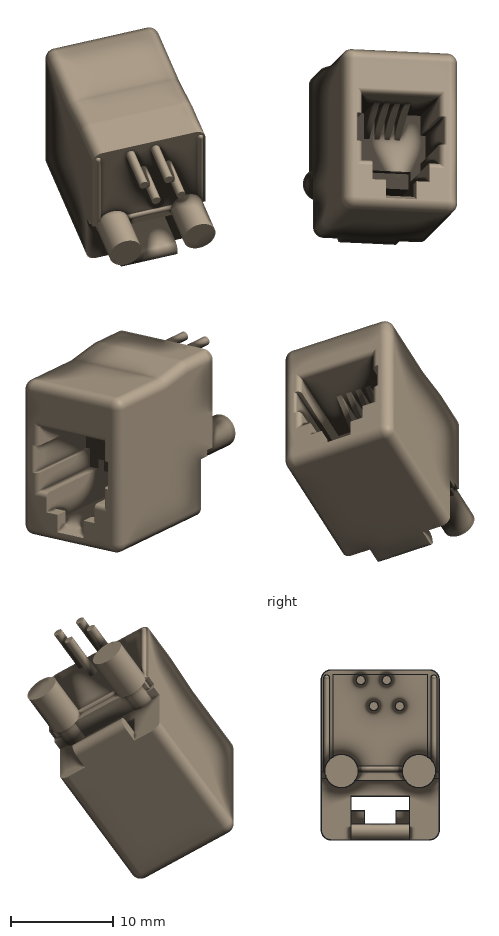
import cadquery as cq
import math


WIDTH = 11.56
FRONT_HEIGHT = 16.0
REAR_HEIGHT = 16.64
REAR_X = 16.19
RISE_START_X = 7.97
RISE_END_X = 12.05
ROOF_BLEND = 1.0
EDGE_RADIUS = 1.0
LOWER_REAR_X = 14.17
MIDDLE_REAR_X = 15.18
LOWER_STEP_Z = 6.0
MIDDLE_STEP_Z = 6.65

CAVITY_WIDTH = 7.7
CAVITY_BOTTOM = 4.82
CAVITY_TOP = 11.48
CAVITY_DEPTH = 9.0
CAVITY_LIP = 0.5
GUIDE_WIDTH = 8.66
GUIDE_BOTTOM = 6.68
GUIDE_TOP = 9.5
GUIDE_LIP = 0.27

CHANNEL_WIDTH = 5.7
CHANNEL_DEPTH = 10.0
FLOOR_THICKNESS = 1.58
CHANNEL_REAR_TOP = 4.27
CATCH_TOP = 2.88
CATCH_LENGTH = 1.41
LATCH_SLOT_WIDTH = 3.07
RAMP_LENGTH = 1.24
RAMP_FRONT_Z = 1.07
TONGUE_END_X = 16.49

BLOCK_WIDTH = 9.2
BLOCK_BOTTOM = 5.8
BLOCK_TOP = 12.0
BACK_PLATE_X = LOWER_REAR_X
BACK_PLATE_TOP = 16.2
CONTACT_COUNT = 4
CONTACT_PITCH = 1.02
CONTACT_WIDTH = 0.52
CONTACT_LENGTH = 5.0
CONTACT_DROP = 2.55
TAIL_END_X = 20.64
PIN_DIAMETER = 0.89
PIN_PITCH = 1.27
LOWER_PIN_Z = 13.09
PIN_ROW_SPACING = 2.54
PEG_Y = 3.79
PEG_Z = 6.74
PEG_RADIUS = 1.63
PEG_ROOT_RADIUS = 1.32
PEG_RELIEF = 0.18
TAB_SIDE_Y = 5.3
BEAD_RADIUS = 0.29
BEAD_Y = 5.24
BEAD_TOP = 15.84


def box(x_start, x_end, width, z_bottom, z_top):
    """Box centred on Y = 0."""
    size = (x_end - x_start, width, z_top - z_bottom)
    return cq.Workplane("XY").box(*size, centered=(False, True, False)).translate((x_start, 0, z_bottom))


def cylinder(start, axis, radius, length):
    """Cylinder from a start point along an axis."""
    return cq.Workplane(cq.Plane(start, normal=axis)).circle(radius).extrude(length)


def rod(x_start, x_end, y, z, radius):
    """Cylinder along X."""
    return cylinder((x_start, y, z), (1, 0, 0), radius, x_end - x_start)


def side_profile(points, width):
    """Closed polygon in X and Z, extruded symmetrically along Y."""
    return cq.Workplane("XZ").polyline(points).close().extrude(width / 2, both=True)


def flared_outline(plane, low, high, lip, depth):
    """Outline of a recess of the given depth whose mouth at X = 0 is rounded outwards."""
    mid = lip * (1 - math.sqrt(0.5))
    return (
        cq.Workplane(plane)
        .moveTo(0, low - lip)
        .threePointArc((mid, low - mid), (lip, low))
        .lineTo(depth, low)
        .lineTo(depth, high)
        .lineTo(lip, high)
        .threePointArc((mid, high + mid), (0, high + lip))
        .close()
    )


def shell_blank():
    outline = [
        (0, 0),
        (LOWER_REAR_X, 0),
        (LOWER_REAR_X, LOWER_STEP_Z),
        (MIDDLE_REAR_X, LOWER_STEP_Z),
        (MIDDLE_REAR_X, MIDDLE_STEP_Z),
        (REAR_X, MIDDLE_STEP_Z),
        (REAR_X, REAR_HEIGHT),
        (RISE_END_X, REAR_HEIGHT),
        (RISE_START_X, FRONT_HEIGHT),
        (0, FRONT_HEIGHT),
    ]
    blank = side_profile(outline, WIDTH)
    for bend_x, bend_z in ((RISE_START_X, FRONT_HEIGHT), (RISE_END_X, REAR_HEIGHT)):
        blank = blank.edges(cq.selectors.NearestToPointSelector((bend_x, 0, bend_z))).fillet(ROOF_BLEND)
    plug_face_edges = blank.faces("<X").edges().vals()
    long_edges = []
    for edge in blank.faces("<Y or >Y").edges().vals():
        center = edge.Center()
        on_underside_or_roof = center.z < EDGE_RADIUS or center.z > FRONT_HEIGHT - EDGE_RADIUS
        if on_underside_or_roof and center.x > EDGE_RADIUS:
            long_edges.append(edge)
    return blank.newObject(plug_face_edges + long_edges).fillet(EDGE_RADIUS)


def plug_cavity():
    plan = flared_outline("XY", -CAVITY_WIDTH / 2, CAVITY_WIDTH / 2, CAVITY_LIP, CAVITY_DEPTH)
    elevation = flared_outline("XZ", CAVITY_BOTTOM, CAVITY_TOP, CAVITY_LIP, CAVITY_DEPTH)
    cavity = plan.extrude(REAR_HEIGHT).intersect(elevation.extrude(WIDTH / 2, both=True))
    guide_plan = flared_outline("XY", -GUIDE_WIDTH / 2, GUIDE_WIDTH / 2, GUIDE_LIP, CAVITY_DEPTH)
    guides = guide_plan.extrude(GUIDE_TOP - GUIDE_BOTTOM).translate((0, 0, GUIDE_BOTTOM))
    return cavity.union(guides)


def latch_channel():
    mouth = box(0, CATCH_LENGTH, CHANNEL_WIDTH, CATCH_TOP, CAVITY_TOP)
    run = box(CATCH_LENGTH, CHANNEL_DEPTH, CHANNEL_WIDTH, FLOOR_THICKNESS, CAVITY_TOP)
    rear_window = box(CHANNEL_DEPTH, LOWER_REAR_X, CHANNEL_WIDTH, FLOOR_THICKNESS, CHANNEL_REAR_TOP)
    slot_outline = [
        (0, RAMP_FRONT_Z),
        (RAMP_LENGTH, FLOOR_THICKNESS),
        (CATCH_LENGTH, FLOOR_THICKNESS),
        (CATCH_LENGTH, CAVITY_BOTTOM),
        (0, CAVITY_BOTTOM),
    ]
    slot = side_profile(slot_outline, LATCH_SLOT_WIDTH)
    return mouth.union(run).union(rear_window).union(slot)


def tongue():
    """Floor strip that runs out behind the housing and ends in a half round."""
    radius = FLOOR_THICKNESS / 2
    round_x = TONGUE_END_X - radius
    strip = box(CHANNEL_DEPTH, round_x, CHANNEL_WIDTH, 0, FLOOR_THICKNESS)
    end = cylinder((round_x, -CHANNEL_WIDTH / 2, radius), (0, 1, 0), radius, CHANNEL_WIDTH)
    return strip.union(end)


def peg(y):
    root = rod(LOWER_REAR_X, REAR_X + PEG_RELIEF, y, PEG_Z, PEG_ROOT_RADIUS)
    shank = rod(REAR_X, TAIL_END_X, y, PEG_Z, PEG_RADIUS)
    relief = box(REAR_X, REAR_X + PEG_RELIEF, WIDTH, MIDDLE_STEP_Z, REAR_HEIGHT)
    return shank.cut(relief).union(root)


def side_tabs():
    """Bar across both peg roots, rounded at its forward end."""
    height = MIDDLE_STEP_Z - LOWER_STEP_Z
    radius = height / 2
    bar = box(MIDDLE_REAR_X + radius, REAR_X, 2 * TAB_SIDE_Y, LOWER_STEP_Z, MIDDLE_STEP_Z)
    nose_start = (MIDDLE_REAR_X + radius, -TAB_SIDE_Y, LOWER_STEP_Z + radius)
    nose = cylinder(nose_start, (0, 1, 0), radius, 2 * TAB_SIDE_Y)
    return bar.union(nose)


def solder_pins():
    pins = cq.Workplane("XY")
    for index in range(CONTACT_COUNT):
        y = (index - (CONTACT_COUNT - 1) / 2) * PIN_PITCH
        z = LOWER_PIN_Z + (PIN_ROW_SPACING if index % 2 == 0 else 0)
        pins = pins.add(rod(REAR_X, TAIL_END_X, y, z, PIN_DIAMETER / 2))
    return pins


def contacts():
    """Wedge-shaped spring contacts sloping down from the cavity roof to the block."""
    wedge = [
        (CAVITY_DEPTH - CONTACT_LENGTH, CAVITY_TOP),
        (CAVITY_DEPTH, CAVITY_TOP),
        (CAVITY_DEPTH, CAVITY_TOP - CONTACT_DROP),
    ]
    fins = cq.Workplane("XY")
    for index in range(CONTACT_COUNT):
        y = (index - (CONTACT_COUNT - 1) / 2) * CONTACT_PITCH
        fins = fins.add(side_profile(wedge, CONTACT_WIDTH).translate((0, y, 0)))
    return fins


def bead_frame():
    """U-shaped stand-off bead on the rear face: two uprights joined along the bottom."""
    bottom_z = MIDDLE_STEP_Z + BEAD_RADIUS
    frame = cylinder((REAR_X, -BEAD_Y, bottom_z), (0, 1, 0), BEAD_RADIUS, 2 * BEAD_Y)
    for side in (-1, 1):
        foot = (REAR_X, side * BEAD_Y, MIDDLE_STEP_Z)
        upright = cylinder(foot, (0, 0, 1), BEAD_RADIUS, BEAD_TOP - MIDDLE_STEP_Z)
        cap = cq.Workplane("XY").sphere(BEAD_RADIUS).translate((REAR_X, side * BEAD_Y, BEAD_TOP))
        frame = frame.union(upright).union(cap)
    return frame.intersect(box(REAR_X, TAIL_END_X, WIDTH, 0, REAR_HEIGHT))


def build_insert():
    insert = box(CAVITY_DEPTH, REAR_X, BLOCK_WIDTH, BLOCK_BOTTOM, BLOCK_TOP)
    insert = insert.union(box(BACK_PLATE_X, REAR_X, BLOCK_WIDTH, BLOCK_BOTTOM, BACK_PLATE_TOP))
    insert = insert.union(side_tabs())
    for side in (-1, 1):
        insert = insert.union(peg(side * PEG_Y))
    insert = insert.union(bead_frame())
    for part in solder_pins().vals() + contacts().vals():
        insert = insert.union(cq.Workplane(part))
    return insert


def build_housing(insert):
    housing = shell_blank().union(tongue())
    housing = housing.cut(plug_cavity()).cut(latch_channel())
    return housing.cut(insert)


contact_insert = build_insert()
housing = build_housing(contact_insert)

result = cq.Compound.makeCompound([housing.solids().val(), contact_insert.solids().val()])